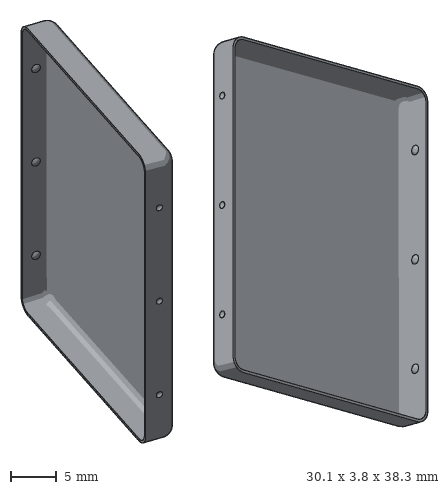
import cadquery as cq

width = 30.1
depth = 3.8
height = 38.3
wall = 0.3
corner_radius = 1.6
floor_edge_radius = 1.3

detent_pitch = 12.5
detent_from_rim = 1.7
dent_radius = 0.4
dent_depth = 0.23

dent_sphere = (dent_radius**2 + dent_depth**2) / (2 * dent_depth)
bulge_sphere = dent_sphere + wall
sphere_center_x = width / 2 + dent_sphere - dent_depth

rim_y = -depth / 2
detent_y = rim_y + detent_from_rim


def rounded_block(inset):
    """Block from the rim to the floor with all other faces moved in by inset."""
    block_depth = depth - inset
    return (
        cq.Workplane("XY")
        .box(width - 2 * inset, block_depth, height - 2 * inset)
        .translate((0, rim_y + block_depth / 2, 0))
        .edges("|Y")
        .fillet(corner_radius - inset)
        .faces(">Y")
        .edges()
        .fillet(floor_edge_radius - inset)
    )


def ball(radius, side, z):
    """Sphere centred just outside one side wall, with its poles along X."""
    return cq.Workplane("YZ").sphere(radius).translate((side * sphere_center_x, detent_y, z))


bulge_limit = cq.Workplane("XY").box(width - wall, 2 * depth, height)

result = rounded_block(0).cut(rounded_block(wall))

for side in (-1, 1):
    for z in (-detent_pitch, 0, detent_pitch):
        bulge = ball(bulge_sphere, side, z).intersect(bulge_limit)
        result = result.union(bulge).cut(ball(dent_sphere, side, z))